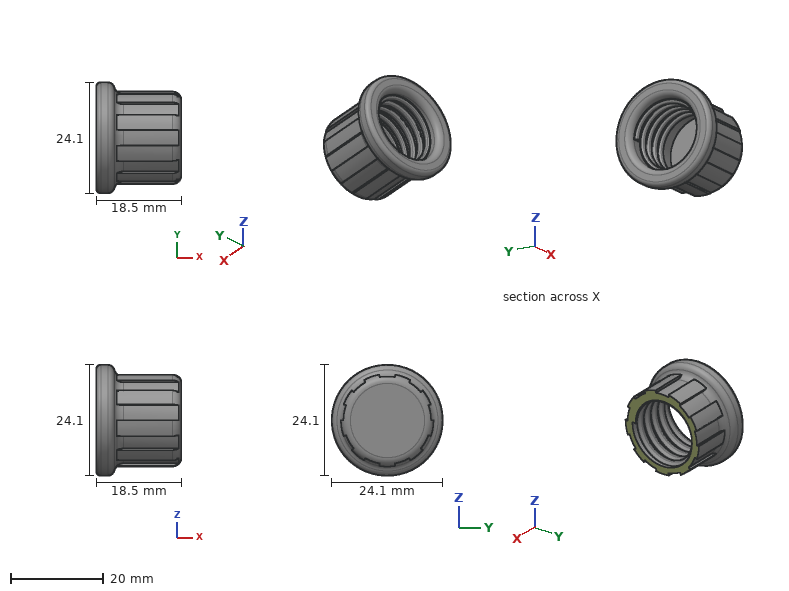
import cadquery as cq
import math

LENGTH = 18.5

FLANGE_RADIUS = 12.05
FRONT_ROUND = 1.0
BACK_ROUND = 1.5
BACK_ROUND_START = 2.5

RIB_RADIUS = 10.05
CORE_RADIUS = 9.5
RIB_COUNT = 9
RIB_ANGLE = 20.0
RIB_SPACING = 360.0 / RIB_COUNT
FIRST_GROOVE_START = 0.0
NECK_FILLET = 2.0
END_ROUND = 2.0
GROOVE_CLEARANCE = 1.0

BORE_RADIUS = 8.05
MOUTH_ROUND = 1.5
FLOOR_THICKNESS = 1.5
BORE_DEPTH = LENGTH - FLOOR_THICKNESS

THREAD_PITCH = 2.5
THREAD_TURNS = 4.5
THREAD_CREST_RADIUS = 7.22
THREAD_CREST_WIDTH = 0.65
MOUTH_FLANK_ANGLE = 26.0
FLOOR_FLANK_ANGLE = 44.0
THREAD_CREST_ROUND = 0.35
THREAD_FOOT = 0.12
THREAD_EMBED = 0.3
THREAD_START = MOUTH_ROUND

BACK_CENTRE_RADIUS = FLANGE_RADIUS - BACK_ROUND
NECK_CENTRE_RADIUS = CORE_RADIUS + NECK_FILLET
NECK_RISE = NECK_CENTRE_RADIUS - BACK_CENTRE_RADIUS
NECK_ANGLE = math.asin(NECK_RISE / (BACK_ROUND + NECK_FILLET))
NECK_CENTRE_X = BACK_ROUND_START + (BACK_ROUND + NECK_FILLET) * math.cos(NECK_ANGLE)

END_CENTRE_X = LENGTH - END_ROUND
END_CENTRE_RADIUS = RIB_RADIUS - END_ROUND
NECK_RIB_ANGLE = math.pi + math.asin((NECK_CENTRE_RADIUS - RIB_RADIUS) / NECK_FILLET)

QUARTER_MID_OPEN_END = math.radians(135)
QUARTER_MID_CLOSED_END = math.radians(45)
QUARTER_MID_MOUTH = math.radians(225)


def arc_point(centre_x, centre_radius, arc_radius, angle):
    """Point of an arc in the (x, radius) half plane; angle in radians from +X."""
    return (centre_x + arc_radius * math.cos(angle), centre_radius + arc_radius * math.sin(angle))


def neck_point(angle):
    """Point of the neck fillet at an angle about its centre."""
    return arc_point(NECK_CENTRE_X, NECK_CENTRE_RADIUS, NECK_FILLET, angle)


def spin(profile, angle=360.0):
    """Revolve an (x, radius) profile about the X axis."""
    return profile.close().revolve(angle, (0, 0, 0), (1, 0, 0))


def make_blank():
    """Solid outline: flange, neck fillet, full rib cylinder and rounded closed end."""
    front_mid = arc_point(FRONT_ROUND, FLANGE_RADIUS - FRONT_ROUND, FRONT_ROUND, QUARTER_MID_OPEN_END)
    back_mid_angle = (math.pi / 2 + NECK_ANGLE) / 2
    back_mid = arc_point(BACK_ROUND_START, BACK_CENTRE_RADIUS, BACK_ROUND, back_mid_angle)
    back_end = arc_point(BACK_ROUND_START, BACK_CENTRE_RADIUS, BACK_ROUND, NECK_ANGLE)
    neck_mid = neck_point((math.pi + NECK_ANGLE + NECK_RIB_ANGLE) / 2)
    end_mid = arc_point(END_CENTRE_X, END_CENTRE_RADIUS, END_ROUND, QUARTER_MID_CLOSED_END)
    profile = (
        cq.Workplane("XY")
        .moveTo(0, 0)
        .lineTo(0, FLANGE_RADIUS - FRONT_ROUND)
        .threePointArc(front_mid, (FRONT_ROUND, FLANGE_RADIUS))
        .lineTo(BACK_ROUND_START, FLANGE_RADIUS)
        .threePointArc(back_mid, back_end)
        .threePointArc(neck_mid, neck_point(NECK_RIB_ANGLE))
        .lineTo(END_CENTRE_X, RIB_RADIUS)
        .threePointArc(end_mid, (LENGTH, END_CENTRE_RADIUS))
        .lineTo(LENGTH, 0)
    )
    return spin(profile)


def make_grooves():
    """Cutters for the gaps between ribs; each follows the neck fillet down to the core."""
    core_angle = math.radians(270)
    clear_radius = RIB_RADIUS + GROOVE_CLEARANCE
    profile = (
        cq.Workplane("XY")
        .moveTo(*neck_point(NECK_RIB_ANGLE))
        .threePointArc(neck_point((NECK_RIB_ANGLE + core_angle) / 2), neck_point(core_angle))
        .lineTo(LENGTH, CORE_RADIUS)
        .lineTo(LENGTH, clear_radius)
        .lineTo(NECK_CENTRE_X, clear_radius)
    )
    groove = spin(profile, RIB_SPACING - RIB_ANGLE)
    grooves = cq.Workplane("XY")
    for index in range(RIB_COUNT):
        angle = FIRST_GROOVE_START + index * RIB_SPACING
        grooves = grooves.union(groove.rotate((0, 0, 0), (1, 0, 0), angle))
    return grooves


def make_bore():
    """Blind bore with a bell-mouthed opening."""
    mouth_mid = arc_point(MOUTH_ROUND, BORE_RADIUS + MOUTH_ROUND, MOUTH_ROUND, QUARTER_MID_MOUTH)
    profile = (
        cq.Workplane("XY")
        .moveTo(0, 0)
        .lineTo(0, BORE_RADIUS + MOUTH_ROUND)
        .threePointArc(mouth_mid, (MOUTH_ROUND, BORE_RADIUS))
        .lineTo(BORE_DEPTH, BORE_RADIUS)
        .lineTo(BORE_DEPTH, 0)
    )
    return spin(profile)


def make_thread():
    """Helical ridge, built about Z and then turned onto X."""
    root = BORE_RADIUS + THREAD_EMBED
    foot_radius = BORE_RADIUS - THREAD_FOOT
    flank_height = foot_radius - THREAD_CREST_RADIUS
    mouth_flank_foot = THREAD_FOOT
    crest_start = mouth_flank_foot + flank_height * math.tan(math.radians(MOUTH_FLANK_ANGLE))
    crest_end = crest_start + THREAD_CREST_WIDTH
    floor_flank_foot = crest_end + flank_height * math.tan(math.radians(FLOOR_FLANK_ANGLE))
    root_end = floor_flank_foot + THREAD_FOOT + THREAD_EMBED
    outline = [
        (root, -THREAD_EMBED),
        (foot_radius, mouth_flank_foot),
        (THREAD_CREST_RADIUS, crest_start),
        (THREAD_CREST_RADIUS, crest_end),
        (foot_radius, floor_flank_foot),
        (root, root_end),
    ]
    corners = [cq.Vector(radius, 0, along) for radius, along in outline]
    wire = cq.Wire.makePolygon(corners, close=True)
    crest_limit = (THREAD_CREST_RADIUS + foot_radius) / 2
    crest_corners = [corner for corner in wire.Vertices() if corner.X < crest_limit]
    wire = wire.fillet2D(THREAD_CREST_ROUND, crest_corners)
    helix = cq.Wire.makeHelix(THREAD_PITCH, THREAD_PITCH * THREAD_TURNS, BORE_RADIUS)
    ridge = cq.Solid.sweep(wire, [], helix, makeSolid=True, isFrenet=True)
    turned = cq.Workplane("XY").add(ridge).rotate((0, 0, 0), (1, 1, 1), 120)
    return turned.translate((THREAD_START, 0, 0))


cavity = make_bore().cut(make_thread())
result = make_blank().cut(make_grooves()).cut(cavity)